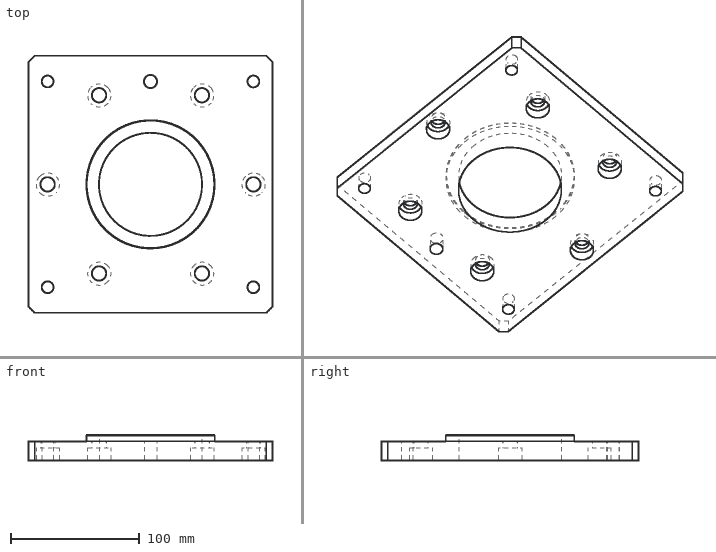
import cadquery as cq
import math

plate_width = 190.0
plate_length = 200.0
total_height = 20.0
boss_height = 5.0
plate_thickness = total_height - boss_height
corner_chamfer = 5.0

boss_diameter = 100.0
bore_diameter = 80.0
boss_edge_chamfer = 0.5

corner_hole_offset = 80.0
corner_hole_diameter = 9.0
bolt_circle_radius = 80.0
bolt_count = 6
bolt_hole_diameter = 11.0
counterbore_diameter = 18.0
counterbore_depth = 10.0
locating_hole_diameter = 10.0


def make_plate():
    """Rectangular plate with its underside at Z = 0 and bevelled corners."""
    plate = cq.Workplane("XY").box(
        plate_width, plate_length, plate_thickness, centered=(True, True, False)
    )
    return plate.edges("|Z").chamfer(corner_chamfer)


def make_boss():
    """Round boss with a small bevel around its top rim."""
    boss = cq.Workplane("XY").circle(boss_diameter / 2).extrude(total_height)
    return boss.faces(">Z").edges().chamfer(boss_edge_chamfer)


def hole_cutters(points, diameter, depth=total_height):
    """Cylinders rising from the underside, through the full height by default."""
    return cq.Workplane("XY").pushPoints(points).circle(diameter / 2).extrude(depth)


corner_points = [
    (x_side * corner_hole_offset, y_side * corner_hole_offset)
    for x_side in (-1, 1)
    for y_side in (-1, 1)
]
bolt_angles = [2 * math.pi * i / bolt_count for i in range(bolt_count)]
bolt_points = [
    (bolt_circle_radius * math.cos(angle), bolt_circle_radius * math.sin(angle))
    for angle in bolt_angles
]
locating_point = (0, bolt_circle_radius)

result = (
    make_plate()
    .union(make_boss())
    .cut(hole_cutters([(0, 0)], bore_diameter))
    .cut(hole_cutters(corner_points, corner_hole_diameter))
    .cut(hole_cutters(bolt_points, bolt_hole_diameter))
    .cut(hole_cutters(bolt_points, counterbore_diameter, counterbore_depth))
    .cut(hole_cutters([locating_point], locating_hole_diameter))
)